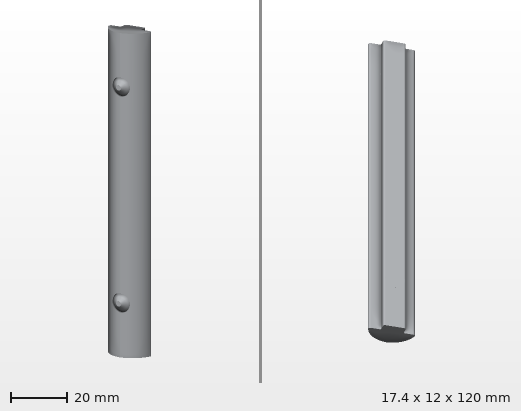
import cadquery as cq

bar_length = 120.0
wing_width = 17.9
bar_depth = 10.9
neck_width = 8.4
neck_height = 3.2
neck_fillet = 0.7
root_fillet = 0.5
wing_fillet = 0.8
front_radius = 9.6

screw_diameter = 7.2
screw_length = 12.0
tip_diameter = 2.0
screw_inset = 20.0
screw_heights = (screw_inset, bar_length - screw_inset)

half_neck = neck_width / 2
half_wing = wing_width / 2
screw_radius = screw_diameter / 2
tip_radius = tip_diameter / 2
cone_length = screw_radius - tip_radius


def make_bar():
    """T-shaped bar with its neck back at Y = 0 and its round front toward -Y."""
    bar = (
        cq.Workplane("XY")
        .moveTo(-half_neck, 0)
        .lineTo(half_neck, 0)
        .lineTo(half_neck, -neck_height)
        .lineTo(half_wing, -neck_height)
        .radiusArc((0, -bar_depth), front_radius)
        .radiusArc((-half_wing, -neck_height), front_radius)
        .lineTo(-half_neck, -neck_height)
        .close()
        .extrude(bar_length)
    )
    bar = bar.edges("|Z and (<X or >X)").fillet(wing_fillet)
    bar = bar.edges("|Z and >Y").fillet(neck_fillet)
    for side in (-1, 1):
        root_point = (side * half_neck, -neck_height, bar_length / 2)
        root_edge = cq.selectors.NearestToPointSelector(root_point)
        bar = bar.edges("|Z").edges(root_edge).fillet(root_fillet)
    return bar


def make_screw_hole(height):
    """Plain hole for one screw, right through the bar."""
    return cq.Workplane("XZ", origin=(0, 0, height)).circle(screw_radius).extrude(screw_length)


def make_screw(height):
    """Cone-point screw pointing toward -Y, its back end flush with the neck back."""
    screw = (
        cq.Workplane("XY")
        .lineTo(screw_radius, 0)
        .lineTo(screw_radius, cone_length - screw_length)
        .lineTo(tip_radius, -screw_length)
        .lineTo(0, -screw_length)
        .close()
        .revolve(360, (0, 0, 0), (0, 1, 0))
    )
    return screw.translate((0, 0, height))


bar = make_bar()
for height in screw_heights:
    bar = bar.cut(make_screw_hole(height))
screws = [make_screw(height) for height in screw_heights]

result = cq.Compound.makeCompound([bar.val(), *[screw.val() for screw in screws]])